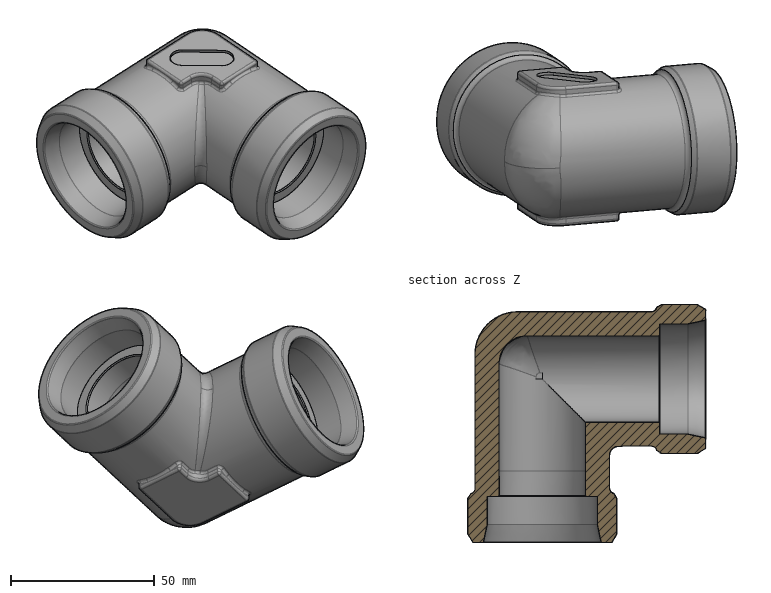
import cadquery as cq
import math

LEG_LENGTH = 57.0
LEG_TURN = -90.0
BODY_RADIUS = 23.5
BODY_LENGTH = 32.0
CORNER_RADIUS = 15.0
CREASE_RADIUS = 3.0

COLLAR_RADIUS = 26.0
COLLAR_START = 41.6
COLLAR_SLOPE = math.tan(math.radians(30))
NECK_END = 38.0
BACK_CHAMFER_LENGTH = 1.8
BACK_CHAMFER_START = COLLAR_START - BACK_CHAMFER_LENGTH
BACK_RADIUS = COLLAR_RADIUS - BACK_CHAMFER_LENGTH * COLLAR_SLOPE
MOUTH_CHAMFER_LENGTH = 3.0
MOUTH_CHAMFER_START = LEG_LENGTH - MOUTH_CHAMFER_LENGTH
MOUTH_RADIUS = COLLAR_RADIUS - MOUTH_CHAMFER_LENGTH * COLLAR_SLOPE
EDGE_ROUND = 0.5

SOCKET_RADIUS = 38.34 / 2
SOCKET_DEPTH = 16.0
SOCKET_FLOOR = LEG_LENGTH - SOCKET_DEPTH
CONE_MOUTH_RADIUS = 20.5
CONE_HALF_ANGLE = 12.0
CONE_LENGTH = (CONE_MOUTH_RADIUS - SOCKET_RADIUS) / math.tan(math.radians(CONE_HALF_ANGLE))

BORE_RADIUS = 15.0
BORE_CORNER_RADIUS = 9.5
BORE_CHAMFER = 0.4
BORE_TRIM = 0.99

PAD_TOP = 25.0
PAD_HALF_WIDTH = 9.0
PAD_REACH = 19.0
PAD_OUTER_RADIUS = 8.0
PAD_NOTCH_RADIUS = 5.0
PAD_EDGE_ROUND = 1.0
PAD_BASE_FILLET = 1.0

RECESS_OFFSET = 4.2
RECESS_LENGTH = 22.2
RECESS_WIDTH = 8.2
RECESS_ANGLE = 45.0
RECESS_DEPTH = 1.0

SPAN = 4 * LEG_LENGTH
MARGIN = 0.1
TOLERANCE = 1e-3


def turned(leg):
    """The +X leg carried onto the -Y leg."""
    return leg.rotate((0, 0, 0), (0, 0, 1), LEG_TURN)


def edges_inside(solid, low, high):
    """Edges that lie wholly inside the box with the two given corners."""
    return solid.edges(cq.selectors.BoxSelector(low, high, boundingbox=True))


def mitred_pipe(radius, length):
    """Two equal cylinders that meet in a mitre on the plane y = -x."""
    x_side = (
        cq.Workplane("XY")
        .polyline([(-SPAN, SPAN), (SPAN, SPAN), (SPAN, -SPAN)])
        .close()
        .extrude(SPAN, both=True)
    )
    cylinder = cq.Workplane("YZ", origin=(-2 * radius, 0, 0)).circle(radius).extrude(2 * radius + length)
    return cylinder.intersect(x_side).union(turned(cylinder).cut(x_side))


def fillet_mitre(solid, side, radius):
    """Round the mitre edges on the outer (side = -1) or inner (side = 1) half of the elbow."""
    edges = []
    for edge in solid.edges("%ELLIPSE").vals():
        center = edge.Center()
        if abs(center.x + center.y) < TOLERANCE and side * center.x > MARGIN:
            edges.append(edge)
    return solid.newObject(edges).fillet(radius)


def pads():
    """L-shaped block through the elbow that stands out as a pad above and below."""
    w = PAD_HALF_WIDTH
    block = (
        cq.Workplane("XY")
        .polyline([(-w, w), (PAD_REACH, w), (PAD_REACH, -w), (w, -w), (w, -PAD_REACH), (-w, -PAD_REACH)])
        .close()
        .extrude(PAD_TOP, both=True)
    )
    block = block.edges(cq.NearestToPointSelector((-w, w, 0))).fillet(PAD_OUTER_RADIUS)
    block = block.edges(cq.NearestToPointSelector((w, -w, 0))).fillet(PAD_NOTCH_RADIUS)
    sharp_corners = block.edges("|Z and (>X or <Y)")
    return block.faces("|Z").edges().add(sharp_corners).fillet(PAD_EDGE_ROUND)


def fillet_pad_bases(solid):
    """Blend the pad walls into the round body; the pad edges above the crown stay as they are."""
    near = -PAD_HALF_WIDTH - MARGIN
    far = PAD_REACH + MARGIN
    crown = BODY_RADIUS + MARGIN
    for low, high in ((0, crown), (-crown, 0)):
        solid = edges_inside(solid, (near, -far, low), (far, -near, high)).fillet(PAD_BASE_FILLET)
    return solid


def recess():
    return (
        cq.Workplane("XY", origin=(RECESS_OFFSET, -RECESS_OFFSET, PAD_TOP))
        .slot2D(RECESS_LENGTH, RECESS_WIDTH, RECESS_ANGLE)
        .extrude(-RECESS_DEPTH)
    )


def leg_end():
    """Revolved end of the +X leg: neck, collar, sealing cone and socket."""
    profile = (
        cq.Workplane("XY")
        .moveTo(BODY_LENGTH, BORE_RADIUS)
        .lineTo(BODY_LENGTH, BODY_RADIUS)
        .lineTo(NECK_END, BODY_RADIUS)
        .tangentArcPoint((BACK_CHAMFER_START, BACK_RADIUS), relative=False)
        .lineTo(COLLAR_START, COLLAR_RADIUS)
        .lineTo(MOUTH_CHAMFER_START, COLLAR_RADIUS)
        .lineTo(LEG_LENGTH, MOUTH_RADIUS)
        .lineTo(LEG_LENGTH, CONE_MOUTH_RADIUS)
        .lineTo(LEG_LENGTH - CONE_LENGTH, SOCKET_RADIUS)
        .lineTo(SOCKET_FLOOR, SOCKET_RADIUS)
        .lineTo(SOCKET_FLOOR, BORE_RADIUS + BORE_CHAMFER)
        .lineTo(SOCKET_FLOOR - BORE_CHAMFER, BORE_RADIUS)
        .close()
    )
    ring = profile.revolve(360, (0, 0, 0), (1, 0, 0))
    for station in (COLLAR_START, MOUTH_CHAMFER_START, LEG_LENGTH):
        ring = edges_inside(
            ring,
            (station - MARGIN, -SPAN, -SPAN),
            (station + MARGIN, SPAN, SPAN),
        ).fillet(EDGE_ROUND)
    return ring


def bore():
    """Mitred bore, rounded at the outer corner."""
    slab = cq.Workplane("XY").box(SPAN, SPAN, 2 * BORE_TRIM * BORE_RADIUS)
    elbow = mitred_pipe(BORE_RADIUS, BODY_LENGTH).intersect(slab)
    elbow = fillet_mitre(elbow, -1, BORE_CORNER_RADIUS)
    leg = cq.Workplane("YZ").circle(BORE_RADIUS).extrude(BODY_LENGTH)
    return elbow.union(leg).union(turned(leg))


body = mitred_pipe(BODY_RADIUS, BODY_LENGTH).union(pads())
body = fillet_mitre(body, -1, CORNER_RADIUS)
body = fillet_mitre(body, 1, CREASE_RADIUS)
body = fillet_pad_bases(body)
body = body.cut(recess()).cut(bore())
result = body.union(leg_end()).union(turned(leg_end()))